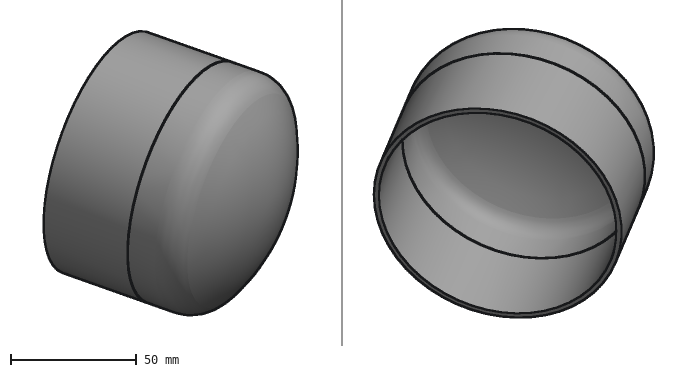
import cadquery as cq
import math

outer_diameter = 101.6
inner_diameter = 97.38
groove_x = 38.2
groove_width = 0.25
groove_depth = 0.1
straight_length = 50.8
outer_apex_x = 76.2
outer_dome_radius = 78.7
inner_knuckle_radius = 9.9
inner_dome_radius = 80.3

outer_radius = outer_diameter / 2
inner_radius = inner_diameter / 2


def knuckle_radius_for(wall_radius, dome_radius, apex_x):
    """Radius of the arc tangent to both the straight wall and a dome with the given apex."""
    centre_offset = straight_length - (apex_x - dome_radius)
    return (dome_radius**2 - centre_offset**2 - wall_radius**2) / (2 * (dome_radius - wall_radius))


def domed_outline(wall_radius, knuckle_radius, dome_radius):
    """Half outline, closed along the axis: straight wall, tangent knuckle arc, dome arc."""
    knuckle_centre_y = wall_radius - knuckle_radius
    joint_angle = math.asin(knuckle_centre_y / (dome_radius - knuckle_radius))
    dome_centre_x = straight_length - (dome_radius - knuckle_radius) * math.cos(joint_angle)

    def dome_point(angle):
        return (dome_centre_x + dome_radius * math.cos(angle), dome_radius * math.sin(angle))

    def knuckle_point(angle):
        return (
            straight_length + knuckle_radius * math.cos(angle),
            knuckle_centre_y + knuckle_radius * math.sin(angle),
        )

    middle_angle = (joint_angle + math.pi / 2) / 2
    return (
        cq.Workplane("XY")
        .moveTo(0, 0)
        .lineTo(0, wall_radius)
        .lineTo(straight_length, wall_radius)
        .threePointArc(knuckle_point(middle_angle), dome_point(joint_angle))
        .threePointArc(dome_point(joint_angle / 2), dome_point(0))
        .close()
    )


def revolved(outline):
    """Solid swept by a half outline turning once about the X axis."""
    return outline.revolve(360, (0, 0, 0), (1, 0, 0))


def groove_ring(wall_radius):
    """Ring that straddles a wall surface and cuts a groove of the set depth into it."""
    return (
        cq.Workplane("YZ")
        .workplane(offset=groove_x - groove_width / 2)
        .circle(wall_radius + groove_depth)
        .circle(wall_radius - groove_depth)
        .extrude(groove_width)
    )


outer_knuckle_radius = knuckle_radius_for(outer_radius, outer_dome_radius, outer_apex_x)
outer_body = revolved(domed_outline(outer_radius, outer_knuckle_radius, outer_dome_radius))
cavity = revolved(domed_outline(inner_radius, inner_knuckle_radius, inner_dome_radius))
result = outer_body.cut(cavity)
for wall_radius in (outer_radius, inner_radius):
    result = result.cut(groove_ring(wall_radius))